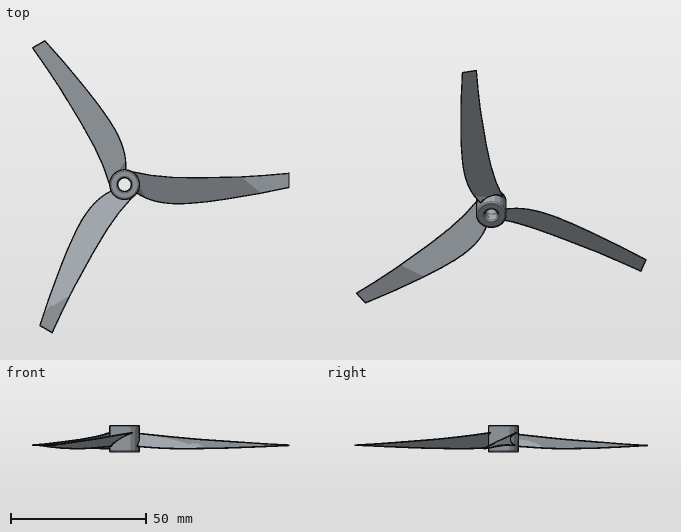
import cadquery as cq

hub_diameter = 11.0
hub_height = 10.0
bore_diameter = 5.0
rim_fillet = 0.5

blade_count = 3
edge_thickness = 0.2
root_crown = 0.4
tip_crown = 0.05

blade_stations = [
    (1.6, 5.1, 2.4, -0.9, -2.7),
    (11.4, 3.2, 1.3, -6.2, -3.4),
    (21.1, 2.6, 0.3, -7.1, -3.7),
    (31.4, 2.6, -0.5, -6.3, -3.6),
    (41.1, 2.8, -1.2, -4.9, -3.4),
    (50.9, 3.4, -1.8, -3.1, -2.9),
    (60.9, 4.2, -2.4, -1.1, -2.5),
]
root_distance = blade_stations[0][0]
tip_distance = blade_stations[-1][0]


def make_bore():
    return cq.Workplane("XY").circle(bore_diameter / 2).extrude(hub_height / 2, both=True)


def make_hub():
    """Tube with all of its circular rims rounded."""
    hub = cq.Workplane("XY").circle(hub_diameter / 2).extrude(hub_height / 2, both=True)
    hub = hub.cut(make_bore())
    return hub.faces("|Z").edges().fillet(rim_fillet)


def blade_section(distance, lead_y, lead_z, trail_y, trail_z):
    """Cross-section with a straight underside and an arched upper side."""
    span = (distance - root_distance) / (tip_distance - root_distance)
    crown = root_crown + span * (tip_crown - root_crown)
    half_edge = edge_thickness / 2
    middle = ((lead_y + trail_y) / 2, (lead_z + trail_z) / 2 + half_edge + crown)
    section = (
        cq.Workplane("YZ", origin=(distance, 0, 0))
        .moveTo(trail_y, trail_z - half_edge)
        .lineTo(lead_y, lead_z - half_edge)
        .lineTo(lead_y, lead_z + half_edge)
        .threePointArc(middle, (trail_y, trail_z + half_edge))
        .close()
    )
    return section.val()


def make_blade():
    sections = [blade_section(*station) for station in blade_stations]
    return cq.Workplane("XY").add(cq.Solid.makeLoft(sections))


propeller = make_hub()
blade = make_blade().cut(make_bore())
for index in range(blade_count):
    propeller = propeller.union(blade.rotate((0, 0, 0), (0, 0, 1), index * 360 / blade_count))

result = propeller